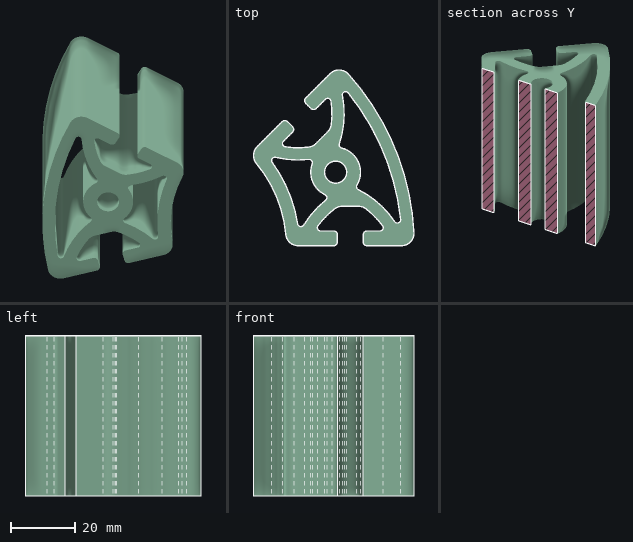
import cadquery as cq
import math

LENGTH = 50.0
INNER_RADIUS = 40.0
OUTER_RADIUS = 2 * INNER_RADIUS
MID_RADIUS = (INNER_RADIUS + OUTER_RADIUS) / 2
SECTOR_ANGLE = 45
CORNER_RADIUS = 3.95

BOSS_RADIUS = 7.8
BORE_RADIUS = 3.4

SLOT_OPENING = 8.0
LIP_THICKNESS = 4.65
SLOT_DEPTH = 12.3
LIP_FILLET = 1.2
CAVITY_TIP_FILLET = 1.0
CAVITY_FLOOR_FILLET = 3.85

RIB_CENTRE_OFFSET = 10.6
RIB_CENTRE_HEIGHT = -8.8
RIB_OUTER_RADIUS = 29.4
RIB_THICKNESS = 3.9

INNER_WALL = 4.15
OUTER_WALL = 3.9
CHAMBER_FILLET = 1.0

HALF_ANGLE = math.radians(SECTOR_ANGLE / 2)
BOSS_CENTRE = (MID_RADIUS * math.cos(HALF_ANGLE), MID_RADIUS * math.sin(HALF_ANGLE))


def polar(radius, angle):
    return (radius * math.cos(angle), radius * math.sin(angle))


def cylinder(centre, radius):
    return cq.Workplane("XY").center(*centre).circle(radius).extrude(LENGTH)


def ring_sector(inner, outer):
    """Ring piece between the two flat faces."""
    full_angle = 2 * HALF_ANGLE
    return (
        cq.Workplane("XY")
        .moveTo(inner, 0)
        .lineTo(outer, 0)
        .threePointArc(polar(outer, HALF_ANGLE), polar(outer, full_angle))
        .lineTo(*polar(inner, full_angle))
        .threePointArc(polar(inner, HALF_ANGLE), (inner, 0))
        .close()
        .extrude(LENGTH)
    )


def turn_over(shape):
    """Swap the two flat faces."""
    return shape.mirror("XZ").rotate((0, 0, 0), (0, 0, 1), SECTOR_ANGLE)


def on_both_faces(shape):
    """Join a shape on the first flat face with its mirror image on the second."""
    return shape.union(turn_over(shape))


def arch(radius):
    """Pointed arch over the first slot, where two rib circles overlap."""
    left = cylinder((MID_RADIUS - RIB_CENTRE_OFFSET, RIB_CENTRE_HEIGHT), radius)
    right = cylinder((MID_RADIUS + RIB_CENTRE_OFFSET, RIB_CENTRE_HEIGHT), radius)
    return left.intersect(right)


def slot_block(width, bottom, top):
    return (
        cq.Workplane("XY")
        .center(MID_RADIUS, (bottom + top) / 2)
        .rect(width, top - bottom)
        .extrude(LENGTH)
    )


def slot():
    cavity_limits = slot_block(INNER_RADIUS, LIP_THICKNESS, SLOT_DEPTH)
    cavity = arch(RIB_OUTER_RADIUS - RIB_THICKNESS).intersect(cavity_limits)
    cavity = cavity.edges("|Z and >Y").fillet(CAVITY_FLOOR_FILLET)
    cavity = cavity.edges("|Z and (<X or >X)").fillet(CAVITY_TIP_FILLET)
    return cavity.union(slot_block(SLOT_OPENING, 0, LIP_THICKNESS))


def round_lips(body):
    """Round the lips on either side of the first slot opening."""
    half_opening = SLOT_OPENING / 2
    margin = LIP_FILLET / 2
    opening_box = cq.selectors.BoxSelector(
        (MID_RADIUS - half_opening - margin, -margin, -margin),
        (MID_RADIUS + half_opening + margin, LIP_THICKNESS + margin, LENGTH + margin),
    )
    return body.edges("|Z").edges(opening_box).fillet(LIP_FILLET)


def chambers():
    space = ring_sector(INNER_RADIUS + INNER_WALL, OUTER_RADIUS - OUTER_WALL)
    space = space.cut(on_both_faces(arch(RIB_OUTER_RADIUS)))
    space = space.cut(cylinder(BOSS_CENTRE, BOSS_RADIUS))
    return space.edges("|Z").fillet(CHAMBER_FILLET)


body = ring_sector(INNER_RADIUS, OUTER_RADIUS).edges("|Z").fillet(CORNER_RADIUS)
body = body.cut(chambers())
for _ in range(2):
    body = turn_over(round_lips(body.cut(slot())))
body = body.cut(cylinder(BOSS_CENTRE, BORE_RADIUS))

result = body.translate((-BOSS_CENTRE[0], -BOSS_CENTRE[1], -LENGTH / 2))